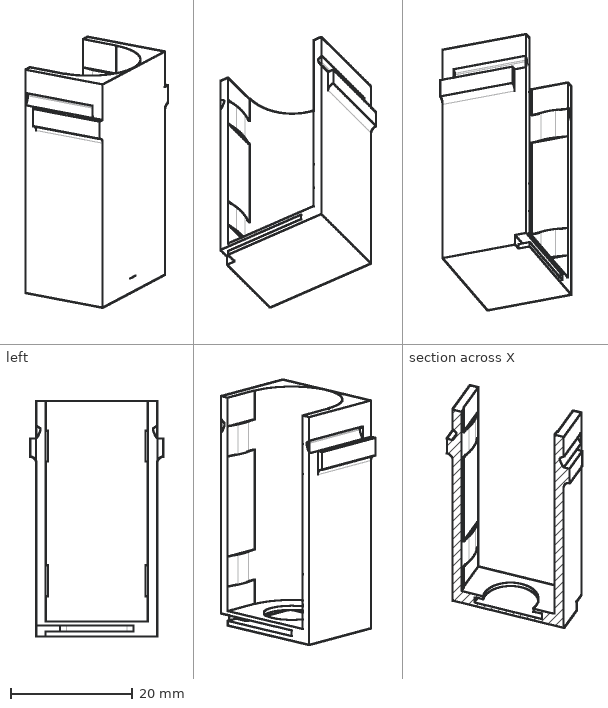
import cadquery as cq


depth = 14.9
width = 20.0
height = 38.93
half_width = width / 2

bore_x = 6.42
bore_radius = 8.37
mouth_half_width = 8.5
floor_z = 2.5

bump_ramp_end = (2.05, 8.15)
bump_crest = (3.2, 8.05)
bump_bore_x = 4.67
bump_height = 5.15
bump_bases = (6.65, 28.9)

slot_bottom = 0.8
slot_top = 1.8
pocket_half_width = 6.05
pocket_back_x = bore_x + pocket_half_width
pocket_corner_radius = 1.0
window_diameter = 9.23

channel_depth = 2.0

rail_projection = 1.0
rail_start_x = 2.05
rail_top = 32.75
rail_bottom = 29.7
rail_cove_radius = rail_projection
groove_start_x = 0.1
groove_end_x = 12.92
groove_top = 34.9
groove_depth = 0.75
groove_ceiling_drop = 0.55
groove_flank_middle = (0.35, 0.5)
groove_root_radius = 0.25


def box(x_range, y_range, z_range):
    """Box between the given low and high limits."""
    lows, highs = zip(x_range, y_range, z_range)
    sizes = [high - low for low, high in zip(lows, highs)]
    return cq.Workplane("XY").box(*sizes, centered=False).translate(lows)


def on_both_sides(shape):
    """The shape together with its mirror image across the XZ plane."""
    return shape.union(shape.mirror("XZ"))


def chamber():
    """Round bore with a slightly wider straight mouth."""
    bore = cq.Workplane("XY", origin=(bore_x, 0, floor_z)).circle(bore_radius).extrude(height)
    mouth = box((0, bore_x), (-mouth_half_width, mouth_half_width), (floor_z, height))
    return bore.union(mouth)


def bump(base_z):
    """Ramp and rounded crest on the +Y mouth wall, blending into the bore."""
    def bore_point(x):
        return x, (bore_radius**2 - (x - bore_x) ** 2) ** 0.5

    wall_y = (mouth_half_width + half_width) / 2
    return (
        cq.Workplane("XY", origin=(0, 0, base_z))
        .moveTo(0, wall_y)
        .lineTo(0, mouth_half_width)
        .lineTo(*bump_ramp_end)
        .threePointArc(bump_crest, bore_point(bump_bore_x))
        .threePointArc(bore_point((bump_bore_x + bore_x) / 2), bore_point(bore_x))
        .lineTo(bore_x, wall_y)
        .close()
        .extrude(bump_height)
    )


def contact_pocket():
    """Pocket open to -X with rounded back corners, plus its window in the chamber floor."""
    pocket = (
        box((0, pocket_back_x), (-pocket_half_width, pocket_half_width), (slot_bottom, slot_top))
        .edges("|Z and >X")
        .fillet(pocket_corner_radius)
    )
    window = (
        cq.Workplane("XY", origin=(bore_x, 0, slot_bottom))
        .circle(window_diameter / 2)
        .extrude(floor_z - slot_bottom)
    )
    return pocket.union(window)


def exit_channel():
    """Channel beside the pocket and the notch it opens into at the foot of the +Y wall."""
    channel = box((0, channel_depth), (0, half_width), (slot_bottom, slot_top))
    notch = box((0, channel_depth), (mouth_half_width, half_width), (0, slot_top))
    return channel.union(notch)


def rail():
    """Rail on the +Y wall with a concave cove underneath."""
    outer_y = half_width + rail_projection
    cove_centre = (outer_y, rail_bottom - rail_cove_radius)
    cove_offset = rail_cove_radius * 0.5**0.5
    return (
        cq.Workplane("YZ", origin=(rail_start_x, 0, 0))
        .moveTo(half_width, rail_top)
        .lineTo(outer_y, rail_top)
        .lineTo(outer_y, rail_bottom)
        .threePointArc(
            (cove_centre[0] - cove_offset, cove_centre[1] + cove_offset),
            (half_width, cove_centre[1]),
        )
        .close()
        .extrude(depth - rail_start_x)
    )


def groove():
    """Groove in the +Y wall directly above the rail: sloping ceiling and hollow lower flank."""
    flank_inset, flank_rise = groove_flank_middle
    return (
        cq.Workplane("YZ", origin=(groove_start_x, 0, 0))
        .moveTo(half_width, rail_top)
        .threePointArc(
            (half_width - flank_inset, rail_top + flank_rise),
            (half_width - groove_depth, groove_top - groove_ceiling_drop),
        )
        .lineTo(half_width, groove_top)
        .close()
        .extrude(groove_end_x - groove_start_x)
        .edges("|X and <Y")
        .fillet(groove_root_radius)
    )


body = box((0, depth), (-half_width, half_width), (0, height))
body = body.cut(chamber())
for base_z in bump_bases:
    body = body.union(on_both_sides(bump(base_z)))
body = body.cut(contact_pocket()).cut(exit_channel())
body = body.cut(on_both_sides(groove()))
result = body.union(on_both_sides(rail()))